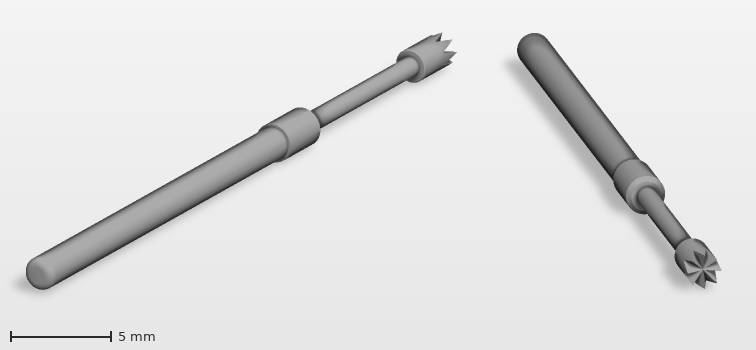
import cadquery as cq
import math

total_length = 37.8
body_length = 22.05
collar_length = 3.02
head_length = 3.0
collar_end = body_length + collar_length
head_start = total_length - head_length

collar_diameter = 2.0
body_diameter = 1.7
head_diameter = 1.75
plunger_diameter = 1.02

tail_round = 0.4
collar_chamfer = 0.23
head_chamfer = 0.055

tip_count = 8
center_depth = 0.45
valley_depth = 1.2


def rod(diameter, start, end):
    """Solid cylinder on the Y axis between two positions."""
    return cq.Workplane("XZ", origin=(0, start, 0)).circle(diameter / 2).extrude(start - end)


def crown_groove():
    """V-shaped cutter in the +X direction, with its bottom edge falling away from the axis."""
    radius = head_diameter / 2
    fall = valley_depth - center_depth
    slope = math.atan2(fall, radius)
    valley_run = math.hypot(radius, fall)

    half_step = math.pi / tip_count
    wall_rise = (valley_depth - fall * (1 - math.cos(half_step))) * math.cos(slope)
    wall_spread = radius * math.sin(half_step)

    scale_up = 2
    groove_length = 3 * valley_run
    groove_direction = cq.Vector(math.cos(slope), -math.sin(slope), 0)
    center_bottom = cq.Vector(0, total_length - center_depth, 0)
    start = center_bottom - groove_direction * valley_run
    section = cq.Plane(origin=start, xDir=(0, 0, -1), normal=groove_direction)
    return (
        cq.Workplane(section)
        .lineTo(scale_up * wall_spread, scale_up * wall_rise)
        .lineTo(-scale_up * wall_spread, scale_up * wall_rise)
        .close()
        .extrude(groove_length)
    )


def crown_head():
    """Cylindrical head with a chamfered rear edge and a ring of sharp tips."""
    head = rod(head_diameter, head_start, total_length)
    head = head.faces("<Y").edges().chamfer(head_chamfer)
    groove = crown_groove()
    step = 360 / tip_count
    for index in range(tip_count):
        head = head.cut(groove.rotate((0, 0, 0), (0, 1, 0), (index + 0.5) * step))
    return head


body = rod(body_diameter, 0, body_length).faces("<Y").edges().fillet(tail_round)
collar = rod(collar_diameter, body_length, collar_end).faces(">Y").edges().chamfer(collar_chamfer)
plunger = rod(plunger_diameter, collar_end, head_start)

result = body.union(collar).union(plunger).union(crown_head())